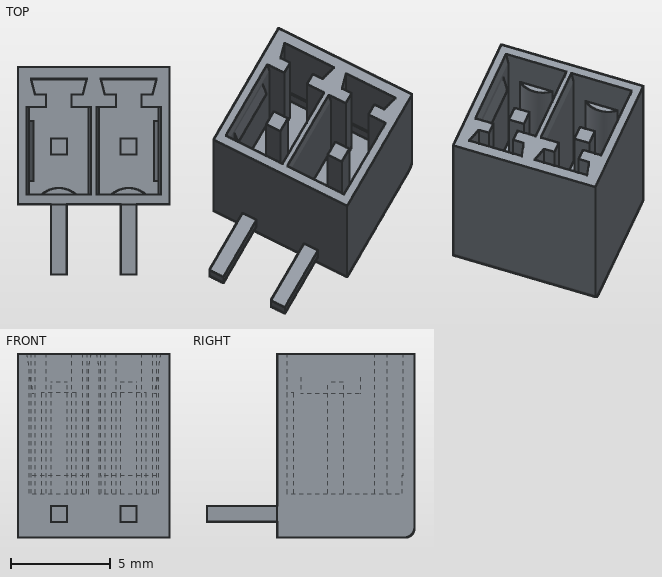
import cadquery as cq

width, depth, height = 7.6, 6.88, 9.2
overall_depth = 10.4
front_y = 0.0
bottom_edge_radius = 0.5

pitch = 3.49
pin_size = 0.8
tail_length = overall_depth - depth
pin_y = 2.91
tail_z = 1.2
contact_top = 7.79

floor_z = 2.18
pocket_width = 2.97
pocket_front, pocket_back = 0.49, 4.88
lead_in_width = 3.22
lead_in_depth = 0.68

neck_width = 1.29
neck_back = 5.5
dovetail_front_width = 2.39
dovetail_back_width = 2.81
dovetail_back = 6.31
ledge_depth, ledge_height = 0.05, 0.94

wedge_front, wedge_back = 1.19, 4.18
wedge_projection = 0.21
wedge_top, wedge_bottom = 8.18, 7.23

rib_chord, rib_rise = 1.73, 0.33
rib_top = 7.28

pocket_depth = height - floor_z
pocket_middle = (pocket_front + pocket_back) / 2
pocket_length = pocket_back - pocket_front


def box(x_size, y_size, z_size, x, y, z):
    """Box centred on x and y, with its lower face at z."""
    return cq.Workplane("XY").box(x_size, y_size, z_size, centered=(True, True, False)).translate((x, y, z))


def make_housing():
    body = box(width, depth, height, 0, front_y + depth / 2, 0)
    return body.edges(">Y and <Z").fillet(bottom_edge_radius)


def make_cavity(x):
    pocket = box(pocket_width, pocket_length, pocket_depth, x, pocket_middle, floor_z)
    lead_in = (
        cq.Workplane("XZ", origin=(x, pocket_back, 0))
        .polyline([
            (-pocket_width / 2, height - lead_in_depth),
            (pocket_width / 2, height - lead_in_depth),
            (lead_in_width / 2, height),
            (-lead_in_width / 2, height),
        ])
        .close()
        .extrude(pocket_length)
    )
    neck_length = neck_back - pocket_back
    neck = box(neck_width, neck_length, pocket_depth, x, pocket_back + neck_length / 2, floor_z)
    dovetail = (
        cq.Workplane("XY", origin=(x, 0, floor_z))
        .polyline([
            (-dovetail_front_width / 2, neck_back),
            (dovetail_front_width / 2, neck_back),
            (dovetail_back_width / 2, dovetail_back),
            (-dovetail_back_width / 2, dovetail_back),
        ])
        .close()
        .extrude(pocket_depth)
    )
    ledge = box(dovetail_back_width, ledge_depth, ledge_height, x, dovetail_back - ledge_depth / 2, floor_z)
    return pocket.union(lead_in).union(neck).union(dovetail.cut(ledge))


def make_wedge(side):
    """Wedge on the outer wall of a pocket; side is -1 for left and 1 for right."""
    wall_x = side * (pitch + pocket_width) / 2
    tip_x = wall_x - side * wedge_projection
    return (
        cq.Workplane("XZ", origin=(0, wedge_back, 0))
        .polyline([(wall_x, wedge_top), (tip_x, wedge_bottom), (wall_x, wedge_bottom)])
        .close()
        .extrude(wedge_back - wedge_front)
    )


def make_rib(x):
    return (
        cq.Workplane("XY", origin=(x, pocket_front, floor_z))
        .moveTo(-rib_chord / 2, 0)
        .threePointArc((0, rib_rise), (rib_chord / 2, 0))
        .close()
        .extrude(rib_top - floor_z)
    )


def make_contact(x):
    """Right-angle pin: an upright post in the pocket and a tail through the front wall."""
    post_base = tail_z - pin_size / 2
    post = box(pin_size, pin_size, contact_top - post_base, x, pin_y, post_base)
    tail_back = pin_y + pin_size / 2
    tail_span = tail_back + tail_length
    tail = box(pin_size, tail_span, pin_size, x, tail_back - tail_span / 2, post_base)
    return post.union(tail)


result = make_housing()
for side in (-1, 1):
    x = side * pitch / 2
    result = result.cut(make_cavity(x))
    result = result.union(make_wedge(side)).union(make_rib(x)).union(make_contact(x))